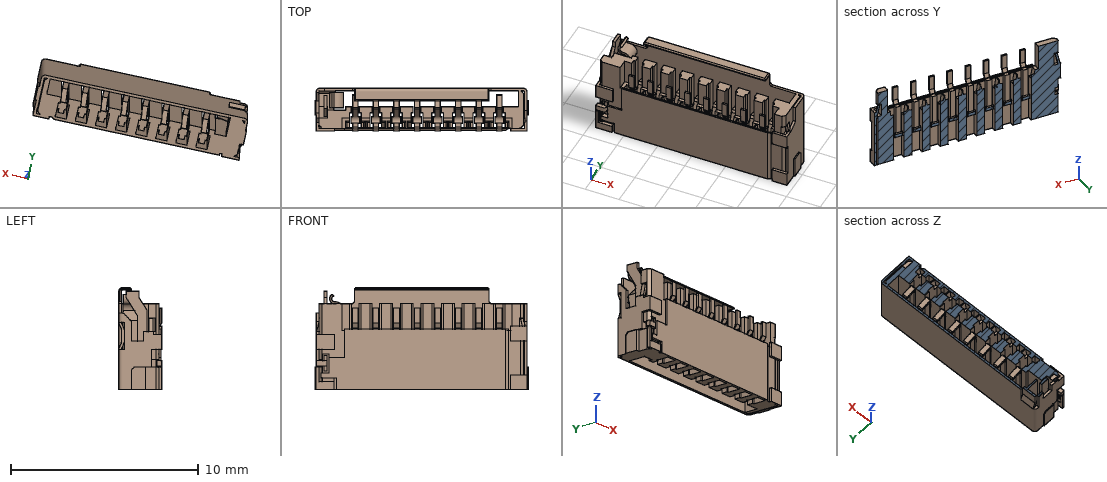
import cadquery as cq


length = 11.4
depth = 2.3
height = 5.45

sheet = 0.15
shell_left = -5.65
shell_right = 5.63
right_wall_inside = shell_right - sheet
shell_bend = 0.21
shell_top = 4.6
lug_y = (0.865, 1.625)
lug_height = 1.2
lug_corner = 0.15
wall_window_depth = 0.55
lever_slot_shoulder = 3.1
lower_left_clip_end = -4.7
lower_left_clip_z = (0, 0.42)
upper_left_clip_end = -4.66
upper_left_clip_z = (2.15, 2.95)
right_clip_start = 4.755
lower_right_clip_z = (0, 0.79)
upper_right_clip_z = (2.6, 3.39)
flange_x = (-3.6, 3.6)
flange_root = 0.1
lip_front = 1.62
lip_thickness = 0.12
lip_bevel = 0.07
lip_bend = 0.2

body_left = shell_left + sheet
wall_gap = 0.04
body_right = right_wall_inside - wall_gap
body_front = 0.14
body_back = 1.31
body_chamfer = 0.17
back_chamfer = 0.13
inner_back = depth - sheet
right_post_x = 5.16
left_block_x = -4.7
left_block_top = 1.5
lever_gap_floor = 2.0
left_wall_x = -4.07
left_wall_back = 1.12
lever_gap_x = -5.04
comb_front = 0.71
comb_floor = 3.17

panel_front = 0.04
panel_back = 0.15
panel_top = 3.23
panel_right = 4.63
panel_bevel = 0.15
panel_step_x = -4.14
panel_step_z = 1.72
window_right = -4.97
ledge_z = (0.63, 0.89)

terminal_count = 8
pitch = 1.1
terminal_centre = 0.3
terminal_width = 0.3
shoulder_width = 0.48
narrow_slot = 0.41
wide_slot = 0.61
wide_slot_y = (0.2, 0.97)
comb_x = (-4.27, 4.83)
groove_width = 1.04
groove_y = (0.2, 0.53)
groove_depth = 0.5
groove_taper = 9

lever_x = (-5.23, -5.06)
lever_top = 5.265


def block(x, y, z):
    """Box spanning three (low, high) ranges."""
    return cq.Workplane("XY").box(
        x[1] - x[0], y[1] - y[0], z[1] - z[0], centered=False
    ).translate((x[0], y[0], z[0]))


def side_plate(points, x):
    """Flat Y-Z outline extruded across an X range."""
    return cq.Workplane("YZ").polyline(points).close().extrude(x[1] - x[0]).translate((x[0], 0, 0))


def front_plate(points, y):
    """Flat X-Z outline extruded across a Y range."""
    return cq.Workplane("XZ").polyline(points).close().extrude(y[0] - y[1]).translate((0, y[0], 0))


def terminal_positions():
    """X centre of every terminal."""
    first = terminal_centre - pitch * (terminal_count - 1) / 2
    return [first + pitch * i for i in range(terminal_count)]


def centred(x, width):
    """X range of the given width about x."""
    return (x - width / 2, x + width / 2)


def make_body():
    main = block((body_left, body_right), (body_front, body_back), (0, shell_top))
    right_post = block((right_post_x, body_right), (body_front, inner_back), (0, shell_top))
    left_block = block((body_left, left_block_x), (body_front, inner_back), (0, left_block_top))
    body = main.union(right_post).union(left_block)
    body = body.edges("|Z and <Y").chamfer(body_chamfer)
    body = body.edges("|Z and >Y and (<X or >X)").chamfer(back_chamfer)

    left_gap_y = (left_wall_back, body_back)
    body = body.cut(block((left_block_x, left_wall_x), left_gap_y, (0, shell_top)))
    body = body.cut(block((lever_gap_x, left_wall_x), left_gap_y, (left_block_top, shell_top)))
    body = body.cut(block((body_left, lever_gap_x), (comb_front, body_back), (lever_gap_floor, shell_top)))

    return body.cut(block(comb_x, (0, comb_front), (comb_floor, shell_top)))


def add_panel(body):
    ledge_x = -5.38
    foot_x = -4.56
    points = [
        (foot_x, 0), (panel_right, 0), (panel_right, panel_top), (panel_step_x, panel_top),
        (panel_step_x, panel_step_z), (window_right, panel_step_z), (window_right, ledge_z[1]),
        (ledge_x, ledge_z[1]), (ledge_x, ledge_z[0]), (foot_x, ledge_z[0]),
    ]
    panel = front_plate(points, (panel_front, panel_back))
    bevel_depth = body_front - panel_front
    bevel = (
        cq.Workplane("XY")
        .moveTo(panel_right, panel_front)
        .lineTo(panel_right - panel_bevel, panel_front)
        .lineTo(panel_right, panel_front + bevel_depth)
        .close()
        .extrude(panel_top)
    )
    return body.union(panel.cut(bevel))


def cut_body_recesses(body):
    corner_width = 0.19
    corner_x = body_left + corner_width

    window_z = (ledge_z[1], 1.89)
    window_depth = 0.3
    body = body.cut(block((corner_x, window_right), (0, window_depth), window_z))

    recess_z = (lower_left_clip_z[1], ledge_z[0])
    recess_depth = 0.2
    body = body.cut(block((corner_x, lower_left_clip_end), (0, recess_depth), recess_z))

    clearance_top = 1.6
    body = body.cut(block((body_left, corner_x), (0, wall_window_depth), (lug_height, clearance_top)))

    pocket_z = (lever_slot_shoulder, 3.83)
    pocket_depth = 0.26
    left_pocket_front = 0.35
    body = body.cut(block((body_left, body_left + pocket_depth), (left_pocket_front, comb_front), pocket_z))
    right_pocket_x = (right_wall_inside - pocket_depth, body_right)
    return body.cut(block(right_pocket_x, (body_front, comb_front), pocket_z))


def make_groove(x):
    """Pocket in the comb floor with sloping back and side walls and a straight front wall."""
    overrun = 0.2
    span_y = groove_y[1] - groove_y[0] + overrun
    pocket = (
        cq.Workplane("XY", origin=(x, groove_y[1] - span_y / 2, comb_floor))
        .rect(groove_width, span_y)
        .extrude(-groove_depth, taper=groove_taper)
    )
    groove_z = (comb_floor - groove_depth, comb_floor)
    return pocket.intersect(block(centred(x, groove_width), groove_y, groove_z))


def cut_terminal_slots(body):
    for x in terminal_positions():
        body = body.cut(block(centred(x, narrow_slot), (wide_slot_y[0], body_back), (0, shell_top)))
        body = body.cut(block(centred(x, wide_slot), wide_slot_y, (0, shell_top)))
        body = body.cut(make_groove(x))
    return body


def make_terminal(x):
    """Solder tail at the front, a curved shoulder behind it and an arm rising into the cavity."""
    tail_top = 4.35
    tail_thickness = 0.11
    bevel_top = 3.55
    bevel_bottom = 3.29
    bevel_back = 0.17
    tail_back = 0.43
    shoulder_y = (0.41, 0.78)
    shoulder_base = 1.4
    shoulder_front_z = 1.66
    valley = (0.56, 1.6)
    curve_end_z = 1.78
    arm_root_y = 0.7
    arm_root_z = 1.5
    arm_knees = [(0.97, 2.25), (1.17, 2.85), (1.27, 2.98)]
    arm_tip = (1.97, 2.85)
    arm_tip_bevel = 0.06
    arm_thickness = 0.15

    tail = side_plate(
        [
            (0, tail_top), (0, bevel_top), (bevel_back, bevel_bottom), (bevel_back, shoulder_base),
            (tail_back, shoulder_base), (tail_back, bevel_bottom),
            (2 * tail_thickness, bevel_bottom), (tail_thickness, bevel_top), (tail_thickness, tail_top),
        ],
        centred(x, terminal_width),
    )
    shoulder_x = centred(x, shoulder_width)
    shoulder = (
        cq.Workplane("YZ", origin=(shoulder_x[0], 0, 0))
        .moveTo(shoulder_y[0], shoulder_base)
        .lineTo(shoulder_y[0], shoulder_front_z)
        .threePointArc(valley, (shoulder_y[1], curve_end_z))
        .lineTo(shoulder_y[1], shoulder_base)
        .close()
        .extrude(shoulder_width)
    )
    arm = side_plate(
        [
            (arm_root_y, arm_root_z), (shoulder_y[1], curve_end_z), *arm_knees,
            (arm_tip[0] - arm_tip_bevel, arm_tip[1]), (arm_tip[0], arm_tip[1] - arm_tip_bevel),
            (arm_tip[0], arm_tip[1] - arm_thickness),
            (arm_knees[-1][0], arm_knees[-1][1] - arm_thickness),
            (shoulder_y[1], arm_root_z), (arm_root_y, shoulder_base),
        ],
        centred(x, terminal_width),
    )
    return tail.union(shoulder).union(arm)


def make_shell_band():
    """Back wall and two side walls with rounded back corners."""
    outer = block((shell_left, shell_right), (0, depth), (0, shell_top))
    outer = outer.edges("|Z and >Y").fillet(shell_bend)
    inner = block((body_left, right_wall_inside), (0, inner_back), (0, shell_top))
    inner = inner.edges("|Z and >Y").fillet(shell_bend - sheet)
    return outer.cut(inner)


def trim_left_wall(shell):
    step_x = -5.2
    step_z = 4.1
    ramp_back = 2.06
    ramp_bottom = 3.65
    shoulder_front = 0.45
    clip_top = upper_left_clip_z[1]
    lever_slot_back = 1.62
    lever_slot_front = 0.97
    lever_slot_z = 2.59
    cut_x = (shell_left, body_left)
    above = side_plate(
        [
            (depth, shell_top), (depth, step_z), (ramp_back, step_z), (lever_slot_back, ramp_bottom),
            (lever_slot_back, lever_slot_z), (lever_slot_front, lever_slot_z),
            (lever_slot_front, lever_slot_shoulder), (shoulder_front, lever_slot_shoulder),
            (shoulder_front, clip_top), (0, clip_top), (0, shell_top),
        ],
        cut_x,
    )
    shell = shell.cut(above)
    shell = shell.cut(block((shell_left, step_x), (inner_back - shell_bend, depth), (step_z, shell_top)))
    shell = shell.cut(block(cut_x, (0, wall_window_depth), (lug_height, upper_left_clip_z[0])))
    return shell.cut(block(cut_x, (sheet, lug_y[0]), (0, lug_height)))


def trim_right_wall(shell):
    cut_x = (right_wall_inside, shell_right)
    step_y = 1.1
    ramp_top = 3.65
    ramp_front = 0.54
    clip_top = upper_right_clip_z[1]
    above = side_plate(
        [(step_y, shell_top), (step_y, ramp_top), (ramp_front, clip_top), (0, clip_top), (0, shell_top)],
        cut_x,
    )
    return shell.cut(above).cut(block(cut_x, (0, sheet), (lower_right_clip_z[1], upper_right_clip_z[0])))


def add_shell_clips(shell):
    """Tabs folded onto the front face and thin lugs on the side walls."""
    left_clips = [(lower_left_clip_end, lower_left_clip_z), (upper_left_clip_end, upper_left_clip_z)]
    for clip_end, clip_z in left_clips:
        shell = shell.union(block((shell_left, clip_end), (0, sheet), clip_z))
    for clip_z in [lower_right_clip_z, upper_right_clip_z]:
        shell = shell.union(block((right_clip_start, shell_right), (0, sheet), clip_z))
    for lug_x in [(-length / 2, body_left), (right_wall_inside, length / 2)]:
        lug = block(lug_x, lug_y, (0, lug_height))
        shell = shell.union(lug.edges("|X and >Y and >Z").chamfer(lug_corner))
    return shell


def add_side_springs(shell):
    """Strips leaning inward from the side walls."""
    lean = 0.2
    z_low = 2.95
    z_high = 3.8
    spring_y = (0.46, 0.69)
    for wall_x, inward in [(body_left, 1), (right_wall_inside, -1)]:
        strip = front_plate(
            [
                (wall_x - inward * sheet, z_low), (wall_x, z_low),
                (wall_x + inward * lean, z_high), (wall_x + inward * (lean - sheet), z_high),
            ],
            spring_y,
        )
        shell = shell.union(strip)
    return shell


def add_corner_bump(shell):
    """Back wall stretch near the left corner pressed inward, with the corner cut open."""
    bump_x = (shell_left, -4.62)
    bump_z = (upper_left_clip_z[0], 3.59)
    corner_front = 1.99
    ramp = 0.4
    shell = shell.cut(block(bump_x, (corner_front, depth), bump_z))
    bump = side_plate(
        [
            (depth, bump_z[0]), (inner_back, bump_z[0] + ramp), (inner_back, bump_z[1] - ramp),
            (depth, bump_z[1]), (inner_back, bump_z[1]), (inner_back - sheet, bump_z[1] - ramp),
            (inner_back - sheet, bump_z[0] + ramp), (inner_back, bump_z[0]),
        ],
        (body_left, bump_x[1]),
    )
    return shell.union(bump)


def add_flange(shell):
    """Raised back wall whose top edge folds forward into a lip."""
    outer = block(flange_x, (lip_front, depth), (shell_top - flange_root, height))
    outer = outer.edges("|X and >Y and >Z").fillet(lip_bend)
    outer = outer.edges("|X and <Y and >Z").chamfer(lip_bevel)
    outer = outer.edges("|Y and >Z").chamfer(lip_bevel)
    inside = block(flange_x, (lip_front, inner_back), (shell_top - flange_root, height - lip_thickness))
    inside = inside.edges("|X and >Y and >Z").fillet(lip_bend - lip_thickness)
    flange = outer.cut(inside)
    roots = front_plate(
        [
            (flange_x[0] - flange_root, shell_top), (flange_x[0], shell_top + flange_root),
            (flange_x[1], shell_top + flange_root), (flange_x[1] + flange_root, shell_top),
        ],
        (inner_back, depth),
    )
    return shell.union(flange).union(roots)


def make_lever():
    """Upright lever plate with a finger at its foot."""
    head_y = (1.21, 1.9)
    stem_y = (0.78, 1.31)
    foot_front = 0.2
    foot_z = (1.0, 1.83)
    front_slope_z = (4.23, 4.92)
    back_slope_z = (3.97, 4.91)
    plate = side_plate(
        [
            (head_y[1], lever_top), (head_y[0], lever_top), (head_y[0], front_slope_z[1]),
            (stem_y[0], front_slope_z[0]), (stem_y[0], foot_z[1]), (foot_front, foot_z[1]),
            (foot_front, foot_z[0]), (stem_y[1], foot_z[0]), (stem_y[1], back_slope_z[0]),
            (head_y[1], back_slope_z[1]),
        ],
        lever_x,
    )
    finger_depth = 0.245
    finger_z = (1.25, 1.55)
    finger_bend = 0.16
    finger = block((shell_left, lever_x[1]), (0, finger_depth), finger_z)
    finger = finger.edges("|Z and >X and <Y").fillet(finger_bend)
    return plate.union(finger)


def make_hook_spring():
    """Bent strip standing on the left block, curled into a hook at its top."""
    curl_outer = (-4.92, 4.8)
    curl_inner = (-4.8, 4.8)
    bend_outer = (-4.3, 4.56)
    bend_inner = (-4.38, 4.44)
    hook_y = (1.24, 2.07)
    strip = 0.12
    left = -4.87
    right = -4.17
    embedded = 0.2
    base_z = left_block_top - embedded
    ramp_bottom = 3.63
    ramp_top = 4.17
    ramp_rise = 0.06
    flat_x = (-4.68, -4.61)
    flat_z = (4.57, 4.7)
    tip_outer = (-4.8, 5.09)
    tip_inner = (-4.69, 5.0)
    profile = (
        cq.Workplane("XZ")
        .moveTo(left, base_z)
        .lineTo(left, ramp_bottom + ramp_rise)
        .lineTo(right - strip, ramp_top + ramp_rise)
        .threePointArc(bend_inner, (flat_x[1], flat_z[0]))
        .lineTo(flat_x[0], flat_z[0])
        .threePointArc(curl_outer, tip_outer)
        .lineTo(*tip_inner)
        .threePointArc(curl_inner, (flat_x[0], flat_z[1]))
        .lineTo(flat_x[1], flat_z[1])
        .threePointArc(bend_outer, (right, ramp_top + ramp_rise))
        .lineTo(right, ramp_top)
        .lineTo(left + strip, ramp_bottom)
        .lineTo(left + strip, base_z)
        .close()
    )
    return profile.extrude(hook_y[0] - hook_y[1]).translate((0, hook_y[0], 0))


def make_part():
    body = add_panel(make_body())
    body = cut_terminal_slots(cut_body_recesses(body))
    part = body
    for x in terminal_positions():
        part = part.union(make_terminal(x))

    shell = trim_right_wall(trim_left_wall(make_shell_band()))
    shell = add_shell_clips(shell)
    shell = add_side_springs(shell)
    shell = add_flange(add_corner_bump(shell))
    return part.union(shell).union(make_lever()).union(make_hook_spring())


result = make_part()